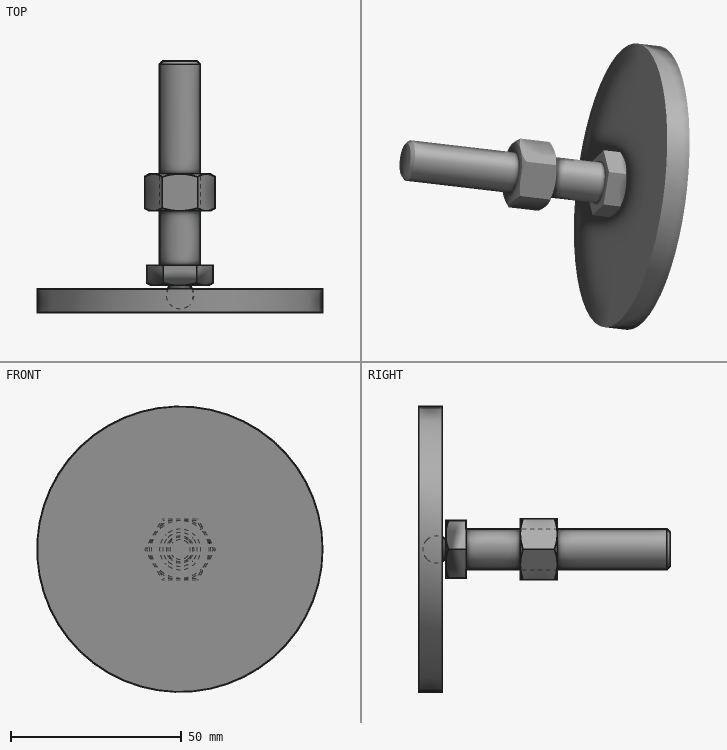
import cadquery as cq
import math


PAD_DIAMETER = 84.0
PAD_THICKNESS = 7.0

BALL_RADIUS = 4.0
BALL_DEPTH = 1.8
ball_center_y = PAD_THICKNESS - BALL_DEPTH

HEX_GAP = 1.0
COLLAR_FLATS = 17.0
COLLAR_HEIGHT = 6.0
ROD_DIAMETER = 12.0
ROD_CHAMFER = 1.0
TOTAL_LENGTH = 74.0
collar_start = PAD_THICKNESS + HEX_GAP
collar_end = collar_start + COLLAR_HEIGHT

NUT_FLATS = 18.0
NUT_HEIGHT = 10.8
NUT_START = 29.9

HEX_CHAMFER_ANGLE = 30.0


def cylinder(diameter, start, length):
    """Cylinder along +Y that begins at Y = start."""
    return cq.Workplane("XZ", origin=(0, start, 0)).circle(diameter / 2).extrude(-length)


def ball():
    """Sphere shared by the stud's tip and the pad's socket."""
    return cq.Workplane("XY", origin=(0, ball_center_y, 0)).sphere(BALL_RADIUS)


def chamfered_hexagon(flats, start, height, chamfer_far_end):
    """Hexagon along +Y with corners on X; the near end, and optionally the far end, is cone-chamfered."""
    end = start + height
    corner_radius = flats / 2 / math.cos(math.pi / 6)
    chamfer_radial = corner_radius - flats / 2
    chamfer_axial = chamfer_radial * math.tan(math.radians(HEX_CHAMFER_ANGLE))

    prism = cq.Workplane("XZ", origin=(0, start, 0)).polygon(6, 2 * corner_radius).extrude(-height)

    profile = [(0, start), (flats / 2, start), (corner_radius, start + chamfer_axial)]
    if chamfer_far_end:
        profile += [(corner_radius, end - chamfer_axial), (flats / 2, end)]
    else:
        profile += [(corner_radius, end)]
    profile += [(0, end)]
    envelope = cq.Workplane("XY").polyline(profile).close().revolve(360, (0, 0, 0), (0, 1, 0))
    return prism.intersect(envelope)


def make_pad():
    """Round pad with a spherical socket that holds the stud's ball."""
    return cylinder(PAD_DIAMETER, 0, PAD_THICKNESS).cut(ball())


def make_stud():
    """Ball, hexagonal collar and rod in one piece."""
    collar = chamfered_hexagon(COLLAR_FLATS, collar_start, COLLAR_HEIGHT, chamfer_far_end=False)
    rod = cylinder(ROD_DIAMETER, collar_end, TOTAL_LENGTH - collar_end)
    rod = rod.faces(">Y").chamfer(ROD_CHAMFER)
    return collar.union(rod).union(ball())


def make_nut():
    """Lock nut, bored to fit the rod."""
    nut = chamfered_hexagon(NUT_FLATS, NUT_START, NUT_HEIGHT, chamfer_far_end=True)
    return nut.cut(cylinder(ROD_DIAMETER, NUT_START, NUT_HEIGHT))


pad = make_pad().solids()
stud = make_stud().solids()
nut = make_nut().solids()

result = cq.Compound.makeCompound([pad.val(), stud.val(), nut.val()])